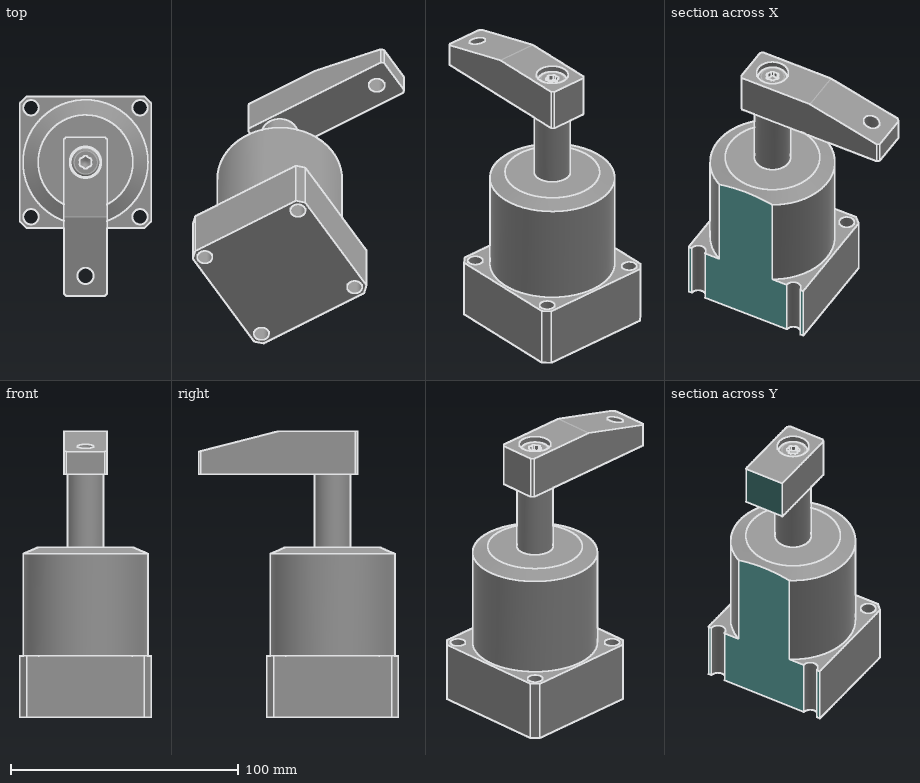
import cadquery as cq


base_side = 58.0
base_height = 27.1
base_corner_chamfer = 3.0
mount_hole_diameter = 6.7
mount_hole_pitch = 48.0
body_diameter = 55.0
body_edge_height = 72.1
body_top_height = 75.0
body_top_diameter = 41.7

rod_diameter = 16.0

overall_height = 126.0
arm_width = 19.0
arm_thickness = 19.0
arm_rear_reach = 11.1
arm_front_reach = 59.0
arm_slope_start = 24.1
arm_tip_thickness = 10.1
arm_corner_chamfer = 1.0
arm_hole_diameter = 7.0
arm_hole_reach = 50.0
arm_bottom = overall_height - arm_thickness

counterbore_diameter = 14.0
counterbore_depth = 10.1
screw_head_diameter = 13.0
screw_head_recess = 1.9
screw_head_fillet = 1.4
screw_shank_diameter = 8.0
screw_thread_depth = 12.0
socket_lobe_diameter = 5.7
socket_root_diameter = 4.9
socket_rib_radius = 2.4
socket_lobe_count = 6
socket_depth = 2.5
socket_cone_depth = 1.3
screw_seat = overall_height - counterbore_depth
screw_top = overall_height - screw_head_recess
screw_end = arm_bottom - screw_thread_depth


def cylinder(diameter, bottom, top):
    """Upright cylinder on the rod axis."""
    return cq.Workplane("XY").workplane(offset=bottom).circle(diameter / 2).extrude(top - bottom)


def make_housing():
    base = cq.Workplane("XY").rect(base_side, base_side).extrude(base_height)
    base = base.edges("|Z").chamfer(base_corner_chamfer)
    mount_holes = (
        cq.Workplane("XY")
        .rect(mount_hole_pitch, mount_hole_pitch, forConstruction=True)
        .vertices()
        .circle(mount_hole_diameter / 2)
        .extrude(base_height)
    )
    body = (
        cq.Workplane("XZ")
        .moveTo(0, 0)
        .lineTo(body_diameter / 2, 0)
        .lineTo(body_diameter / 2, body_edge_height)
        .lineTo(body_top_diameter / 2, body_top_height)
        .lineTo(0, body_top_height)
        .close()
        .revolve(360, (0, 0), (0, 1))
    )
    return base.cut(mount_holes).union(body)


def make_rod():
    """Rod standing on the housing, with a blind hole for the screw."""
    rod = cylinder(rod_diameter, body_top_height, arm_bottom)
    return rod.cut(cylinder(screw_shank_diameter, screw_end, arm_bottom))


def make_arm():
    """Bar reaching toward -Y, with a sloped nose."""
    arm = (
        cq.Workplane("YZ")
        .moveTo(arm_rear_reach, arm_bottom)
        .lineTo(arm_rear_reach, overall_height)
        .lineTo(-arm_slope_start, overall_height)
        .lineTo(-arm_front_reach, arm_bottom + arm_tip_thickness)
        .lineTo(-arm_front_reach, arm_bottom)
        .close()
        .extrude(arm_width / 2, both=True)
    )
    arm = arm.edges("|Z").chamfer(arm_corner_chamfer)
    nose_hole = cylinder(arm_hole_diameter, arm_bottom, overall_height).translate((0, -arm_hole_reach, 0))
    counterbore = cylinder(counterbore_diameter, screw_seat, overall_height)
    shank_hole = cylinder(screw_shank_diameter, arm_bottom, screw_seat)
    return arm.cut(nose_hole).cut(counterbore).cut(shank_hole)


def make_socket():
    """Six-lobed socket space with a conical floor and two lobes on the Y axis."""
    lobe_radius = socket_lobe_diameter / 2
    socket_floor = screw_top - socket_depth
    socket_tip = socket_floor - socket_cone_depth
    cone = cq.Solid.makeCone(0, lobe_radius, socket_cone_depth, pnt=cq.Vector(0, 0, socket_tip))
    socket = cylinder(socket_lobe_diameter, socket_floor, screw_top).union(cq.Workplane(cone))
    ribs = (
        cq.Workplane("XY")
        .workplane(offset=socket_tip)
        .polarArray(socket_root_diameter / 2 + socket_rib_radius, 0, 360, socket_lobe_count)
        .circle(socket_rib_radius)
        .extrude(screw_top - socket_tip)
    )
    return socket.cut(ribs)


def make_screw():
    head = cylinder(screw_head_diameter, screw_seat, screw_top)
    head = head.faces(">Z").edges().fillet(screw_head_fillet)
    shank = cylinder(screw_shank_diameter, screw_end, screw_seat)
    return head.union(shank).cut(make_socket())


housing = make_housing()
rod = make_rod()
arm = make_arm()
screw = make_screw()

result = cq.Compound.makeCompound([housing.val(), rod.val(), arm.val(), screw.val()])